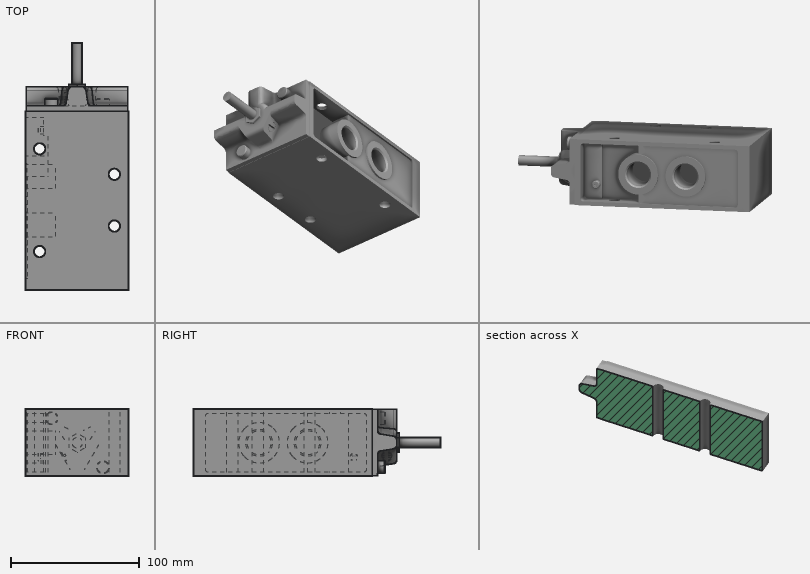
import cadquery as cq
import math

BODY_WIDTH = 80.0
BODY_LENGTH = 139.0
HEIGHT = 52.0
TOTAL_LENGTH = 192

PLATE_WIDTH = 79.1
PLATE_HEIGHT = 51.6
PLATE_THICKNESS = 4.0

MOUNT_DIAMETER = 8.6
MOUNT_X = 29.0
MOUNT_MIDDLE_Y = 69.9
LEFT_MOUNT_SPACING = 79.7
RIGHT_MOUNT_SPACING = 40.1

RECESS_FRONT_Y = 9.2
RECESS_BACK_Y = 134.2
RECESS_HEIGHT = 45.7
RECESS_CORNER_RADIUS = 2.3
SHALLOW_DEPTH = 1.5
DEEP_DEPTH = 17.3
BACK_DEPTH = 14.0
BACK_STEP_Y = 120.4

FRONT_PORT_Y = 50.9
REAR_PORT_Y = 88.5
PORT_BOSS_DIAMETER = 31.5
PORT_DIAMETER = 18.6
PORT_MOUTH_DIAMETER = 21.0
PORT_DEPTH = 23

PIN_Y = 124.5
PIN_Z = -11.1
PIN_DIAMETER = 6.0
PIN_BORE_DIAMETER = 2.5
PIN_BORE_DEPTH = 2
PIN_LENGTH = 4.6
PIN_CHAMFER = 0.4

BRACKET_DEPTH = 15.0
BRACKET_DRAFT = 9
ARM_ROOT_HEIGHT = 13.8
RIB_ROOT_WIDTH = 17.7
HUB_ROOT_RADIUS = 14.5
TIP_RADIUS = 3.3
ROOT_RADIUS = 2.9

WEDGE_ROOT_DEPTH = 18.5
WEDGE_HALF_WIDTH = 11.3
WEDGE_SIDE_ANGLE = 30
ADJUSTER_OFFSET_Y = 7.0
ADJUSTER_Z = -10.8
ADJUSTER_POCKET_DIAMETER = 8.0
ADJUSTER_DIAMETER = 7.5
ADJUSTER_POCKET_DEPTH = 1.0
ADJUSTER_SLOT_WIDTH = 1.3
ADJUSTER_SLOT_DEPTH = 2.7

CAP_SCREW_X = 20.0
CAP_SCREW_Z = 19.0
CAP_SCREW_DIAMETER = 10.0
CAP_SCREW_HEIGHT = 5.8
CAP_SCREW_CHAMFER = 0.5

NUT_FLATS = 12.9
NUT_THICKNESS = 2
CABLE_DIAMETER = 8.0

SIDE_X = -BODY_WIDTH / 2
PLATE_BACK_Y = BODY_LENGTH + PLATE_THICKNESS
BRACKET_TIP_Y = PLATE_BACK_Y + BRACKET_DEPTH
DRAFT_SHIFT = BRACKET_DEPTH * math.tan(math.radians(BRACKET_DRAFT))
BRACKET_PLANE = cq.Plane(origin=(0, PLATE_BACK_Y, 0), xDir=(-1, 0, 0), normal=(0, 1, 0))


def block(x_min, x_max, y_min, y_max, height):
    """Box between the given x and y limits, centred on z = 0."""
    box = cq.Workplane("XY").box(x_max - x_min, y_max - y_min, height, centered=(False, False, True))
    return box.translate((x_min, y_min, 0))


def cylinder(start, direction, diameter, length):
    """Round bar from a start point along a direction."""
    return cq.Workplane(cq.Solid.makeCylinder(diameter / 2, length, cq.Vector(*start), cq.Vector(*direction)))


def recess():
    """Cutter for the stepped recess in the -X side."""
    def pocket(y_min, y_max, depth):
        return block(SIDE_X, SIDE_X + depth, y_min, y_max, RECESS_HEIGHT)

    pockets = pocket(RECESS_FRONT_Y, RECESS_BACK_Y, SHALLOW_DEPTH)
    pockets = pockets.union(pocket(REAR_PORT_Y, BACK_STEP_Y, DEEP_DEPTH))
    pockets = pockets.union(pocket(BACK_STEP_Y, RECESS_BACK_Y, BACK_DEPTH))
    outline = block(SIDE_X, SIDE_X + DEEP_DEPTH, RECESS_FRONT_Y, RECESS_BACK_Y, RECESS_HEIGHT)
    return pockets.intersect(outline.edges("|X").fillet(RECESS_CORNER_RADIUS))


def port_hole(y):
    """Cutter for a port bore with a chamfered mouth."""
    chamfer = (PORT_MOUTH_DIAMETER - PORT_DIAMETER) / 2
    mouth = cq.Solid.makeCone(
        PORT_MOUTH_DIAMETER / 2, PORT_DIAMETER / 2, chamfer, cq.Vector(SIDE_X, y, 0), cq.Vector(1, 0, 0)
    )
    return cylinder((SIDE_X, y, 0), (1, 0, 0), PORT_DIAMETER, PORT_DEPTH).union(cq.Workplane(mouth))


def mounting_holes():
    """Cutter for the four vertical through holes."""
    points = []
    for x, spacing in ((-MOUNT_X, LEFT_MOUNT_SPACING), (MOUNT_X, RIGHT_MOUNT_SPACING)):
        points += [(x, MOUNT_MIDDLE_Y - spacing / 2), (x, MOUNT_MIDDLE_Y + spacing / 2)]
    return cq.Workplane("XY").pushPoints(points).circle(MOUNT_DIAMETER / 2).extrude(HEIGHT, both=True)


def pin():
    """Hollow pin standing on the rear floor of the recess."""
    tip_x = SIDE_X + BACK_DEPTH - PIN_LENGTH
    bore = cylinder((tip_x, PIN_Y, PIN_Z), (1, 0, 0), PIN_BORE_DIAMETER, PIN_BORE_DEPTH)
    post = cylinder((tip_x, PIN_Y, PIN_Z), (1, 0, 0), PIN_DIAMETER, PIN_LENGTH)
    return post.faces("<X").chamfer(PIN_CHAMFER).cut(bore)


def valve_body():
    body = block(SIDE_X, -SIDE_X, 0, BODY_LENGTH, HEIGHT).cut(recess())
    for y in (FRONT_PORT_Y, REAR_PORT_Y):
        body = body.union(cylinder((SIDE_X, y, 0), (1, 0, 0), PORT_BOSS_DIAMETER, DEEP_DEPTH))
        body = body.cut(port_hole(y))
    return body.union(pin()).cut(mounting_holes())


def end_plate():
    return block(-PLATE_WIDTH / 2, PLATE_WIDTH / 2, BODY_LENGTH, PLATE_BACK_Y, PLATE_HEIGHT)


def drafted_rib(half_width, half_height):
    """Rectangle on the end plate, raised to the bracket tip with drafted sides."""
    return (
        cq.Workplane(BRACKET_PLANE)
        .rect(2 * half_width, 2 * half_height)
        .workplane(offset=BRACKET_DEPTH)
        .rect(2 * (half_width - DRAFT_SHIFT), 2 * (half_height - DRAFT_SHIFT))
        .loft(ruled=True)
    )


def finish_on_plate(shape):
    """Round the tip of a bracket shape, trim and join it to the end plate and fillet its root."""
    shape = shape.faces(">Y").edges().fillet(TIP_RADIUS)
    half_width = PLATE_WIDTH / 2
    half_height = PLATE_HEIGHT / 2
    shape = shape.intersect(block(-half_width, half_width, BODY_LENGTH, BRACKET_TIP_Y, PLATE_HEIGHT))
    shape = end_plate().union(shape)
    margin = 0.2
    root_zone = cq.selectors.BoxSelector(
        (-half_width + margin, PLATE_BACK_Y - margin, -half_height + margin),
        (half_width - margin, PLATE_BACK_Y + margin, half_height - margin),
    )
    return shape.edges(root_zone).fillet(ROOT_RADIUS)


def cross():
    """Arms, upper rib and half-round hub; the arms and rib run past the plate before trimming."""
    arms = drafted_rib(PLATE_WIDTH, ARM_ROOT_HEIGHT / 2)
    above_middle = block(-PLATE_WIDTH, PLATE_WIDTH, BODY_LENGTH, TOTAL_LENGTH, 2 * PLATE_HEIGHT)
    above_middle = above_middle.translate((0, 0, PLATE_HEIGHT))
    hub = cq.Solid.makeCone(
        HUB_ROOT_RADIUS,
        HUB_ROOT_RADIUS - DRAFT_SHIFT,
        BRACKET_DEPTH,
        BRACKET_PLANE.origin,
        BRACKET_PLANE.zDir,
    )
    upper = drafted_rib(RIB_ROOT_WIDTH / 2, PLATE_HEIGHT).union(cq.Workplane(hub)).intersect(above_middle)
    return finish_on_plate(arms.union(upper))


def wedge():
    """Block below the arms with sloping sides and a drafted underside."""
    slab = finish_on_plate(drafted_rib(PLATE_WIDTH, WEDGE_ROOT_DEPTH))
    bottom = -PLATE_HEIGHT / 2
    bottom_half_width = wedge_half_width(bottom)
    top_half_width = wedge_half_width(0)
    sides = (
        cq.Workplane("XZ", origin=(0, BODY_LENGTH, 0))
        .polyline([
            (-bottom_half_width, bottom),
            (bottom_half_width, bottom),
            (top_half_width, 0),
            (-top_half_width, 0),
        ])
        .close()
        .extrude(-(BRACKET_TIP_Y - BODY_LENGTH))
    )
    return slab.intersect(sides)


def wedge_half_width(z):
    """Half width of the wedge at height z, between its sloping sides."""
    return WEDGE_HALF_WIDTH + (z - ADJUSTER_Z) * math.tan(math.radians(WEDGE_SIDE_ANGLE))


def adjuster_pocket():
    """Cutter for the ring and slot of the adjusting screw, square to the wedge side."""
    slope = math.radians(WEDGE_SIDE_ANGLE)
    plane = cq.Plane(
        origin=(-WEDGE_HALF_WIDTH, PLATE_BACK_Y + ADJUSTER_OFFSET_Y, ADJUSTER_Z),
        xDir=(0, -1, 0),
        normal=(-math.cos(slope), 0, -math.sin(slope)),
    )
    ring = cq.Workplane(plane).circle(ADJUSTER_POCKET_DIAMETER / 2).circle(ADJUSTER_DIAMETER / 2)
    slot = cq.Workplane(plane).rect(ADJUSTER_DIAMETER, ADJUSTER_SLOT_WIDTH)
    return ring.extrude(-ADJUSTER_POCKET_DEPTH).union(slot.extrude(-ADJUSTER_SLOT_DEPTH))


def cap_screw(x, z):
    head = cylinder((x, PLATE_BACK_Y, z), (0, 1, 0), CAP_SCREW_DIAMETER, CAP_SCREW_HEIGHT)
    return head.faces(">Y").chamfer(CAP_SCREW_CHAMFER)


def cable():
    """Cable and hexagonal nut on the bracket tip; two nut corners point up and down."""
    start = (0, BRACKET_TIP_Y, 0)
    cord = cylinder(start, (0, 1, 0), CABLE_DIAMETER, TOTAL_LENGTH - BRACKET_TIP_Y)
    corner_diameter = NUT_FLATS / math.cos(math.radians(30))
    nut = cq.Workplane("ZX", origin=start).polygon(6, corner_diameter).extrude(NUT_THICKNESS)
    return cord.union(nut)


bracket = cross().union(wedge()).cut(adjuster_pocket())
result = valve_body().union(bracket).union(cable())
for side in (-1, 1):
    result = result.union(cap_screw(side * CAP_SCREW_X, -side * CAP_SCREW_Z))